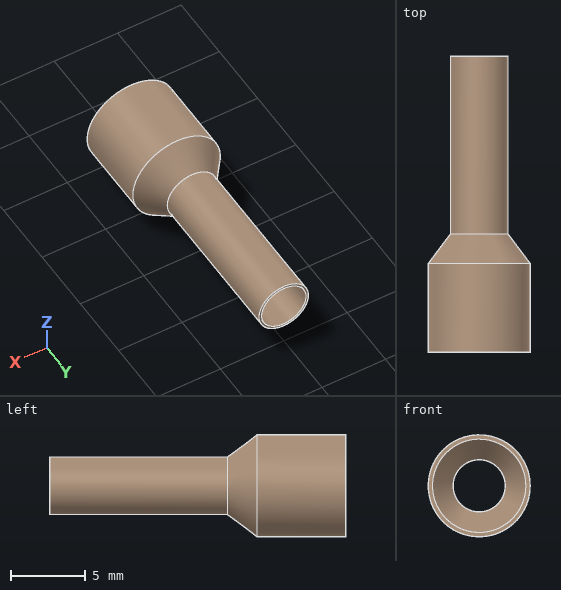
import cadquery as cq

total_length = 20.0
collar_length = 6.0
cone_length = 2.0
tube_outer_diameter = 3.9
tube_bore_diameter = 3.5
collar_outer_diameter = 6.9
collar_bore_diameter = 6.3

collar_end = collar_length
cone_end = collar_end + cone_length


def stepped_solid(collar_diameter, tube_diameter):
    """Solid of revolution about Y with the collar, cone and tube stretches."""
    collar_radius = collar_diameter / 2
    tube_radius = tube_diameter / 2
    return (
        cq.Workplane("XY")
        .moveTo(0, 0)
        .lineTo(collar_radius, 0)
        .lineTo(collar_radius, collar_end)
        .lineTo(tube_radius, cone_end)
        .lineTo(tube_radius, total_length)
        .lineTo(0, total_length)
        .close()
        .revolve(360, (0, 0, 0), (0, 1, 0))
    )


outer_body = stepped_solid(collar_outer_diameter, tube_outer_diameter)
through_bore = stepped_solid(collar_bore_diameter, tube_bore_diameter)

result = outer_body.cut(through_bore)